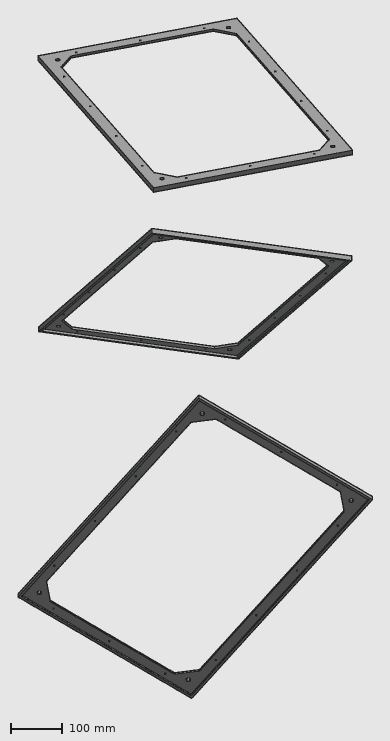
import cadquery as cq

LENGTH = 600.0
WIDTH = 420.0
THICKNESS = 10.0

RAIL_WIDTH = 25.0
WINDOW_CHAMFER = 35.0

LIP_THICKNESS = 5.0
RIM_WIDTH = 5.0

CORNER_HOLE_DIAMETER = 8.4
CORNER_HOLE_INSET = 30.0

FIXING_HOLE_DIAMETER = 2.5
FIXING_HOLE_INSET = (RIM_WIDTH + RAIL_WIDTH) / 2
FIXING_PITCH = 135.0
LONG_ROW_COUNT = 4
LONG_ROW_START = 100.0
SHORT_ROW_COUNT = 3
SHORT_ROW_START = 75.0


def make_block(border, height):
    """Rectangular block inset from the plate outline by the border, standing on Z = 0."""
    return cq.Workplane("XY").box(
        LENGTH - 2 * border,
        WIDTH - 2 * border,
        height,
        centered=(True, True, False),
    )


def make_frame():
    plate = make_block(0, THICKNESS)
    window = make_block(RAIL_WIDTH, THICKNESS).edges("|Z").chamfer(WINDOW_CHAMFER)
    rebate = make_block(RIM_WIDTH, THICKNESS - LIP_THICKNESS)
    return plate.cut(window).cut(rebate)


def corner_points():
    x = LENGTH / 2 - CORNER_HOLE_INSET
    y = WIDTH / 2 - CORNER_HOLE_INSET
    return [(side_x * x, side_y * y) for side_x in (-1, 1) for side_y in (-1, 1)]


def row_positions(start, count, plate_size):
    """Hole positions along one rail, measured from the plate centre."""
    return [start - plate_size / 2 + i * FIXING_PITCH for i in range(count)]


def fixing_points():
    row_x = LENGTH / 2 - FIXING_HOLE_INSET
    row_y = WIDTH / 2 - FIXING_HOLE_INSET
    points = []
    for side in (-1, 1):
        for x in row_positions(LONG_ROW_START, LONG_ROW_COUNT, LENGTH):
            points.append((x, side * row_y))
        for y in row_positions(SHORT_ROW_START, SHORT_ROW_COUNT, WIDTH):
            points.append((side * row_x, y))
    return points


def make_pins(points, diameter):
    """Full-depth cylinders used to cut through holes."""
    return cq.Workplane("XY").pushPoints(points).circle(diameter / 2).extrude(THICKNESS)


result = (
    make_frame()
    .cut(make_pins(corner_points(), CORNER_HOLE_DIAMETER))
    .cut(make_pins(fixing_points(), FIXING_HOLE_DIAMETER))
)